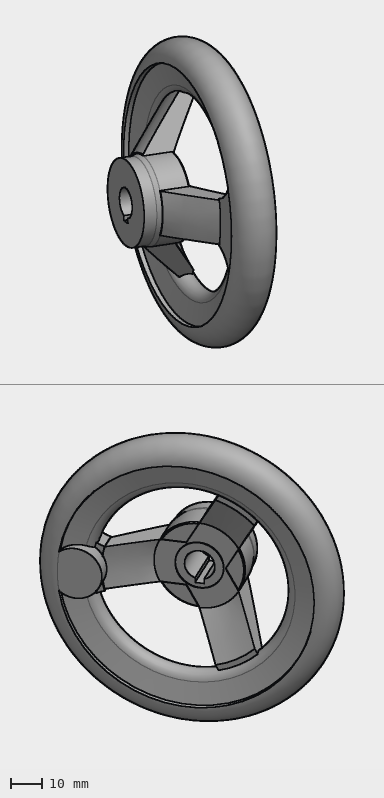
import cadquery as cq
import math


wheel_radius = 50
grip_radius = 7.5
grip_center_radius = wheel_radius - grip_radius
step_depth = 1.8
web_front = -grip_radius + step_depth
lip_radius = 4
opening_radius = 32
lip_center_radius = opening_radius + lip_radius
lip_y = 0

hub_front = -25.5
collar_back = -21.2
hub_cone_back = -19.4
hub_back = -9
collar_radius = 14.5
hub_radius = 15
hub_back_chamfer = 0.4

bore_radius = 5
key_width = 3
key_reach = 6.4

spoke_count = 3
spoke_width = 15
spoke_front_radius = 15.4
spoke_front_slope = 1.05
spoke_back_slope = 1.47
spoke_back_start = -8.7
spoke_back_end = 1.8
spoke_end_radius = 37
spoke_root_radius = 8

boss_center_x = 36.5
boss_radius = 8.8
pad_front = web_front
pad_inner_radius = 29.5
pad_back = spoke_back_end
pad_fillet_radius = 12
pad_fillet_x = 25.3


def revolve_about_y(profile):
    """Turn a profile of (radius, y) around the wheel axis."""
    return profile.close().revolve(360, (0, 0, 0), (0, 1, 0))


def make_rim():
    run = grip_center_radius - lip_center_radius
    rise = web_front - lip_y
    tangent_angle = math.atan2(rise, run) - math.acos(lip_radius / math.hypot(run, rise))
    front_r = lip_center_radius + lip_radius * math.cos(tangent_angle)
    front_y = lip_y + lip_radius * math.sin(tangent_angle)
    profile = (
        cq.Workplane("XY")
        .moveTo(grip_center_radius, web_front)
        .lineTo(grip_center_radius, -grip_radius)
        .threePointArc((wheel_radius, 0), (grip_center_radius, grip_radius))
        .lineTo(grip_center_radius, -web_front)
        .lineTo(front_r, 2 * lip_y - front_y)
        .threePointArc((opening_radius, lip_y), (front_r, front_y))
    )
    return revolve_about_y(profile)


def make_hub():
    profile = cq.Workplane("XY").polyline([
        (0, hub_front),
        (collar_radius, hub_front),
        (collar_radius, collar_back),
        (hub_radius, hub_cone_back),
        (hub_radius, hub_back - hub_back_chamfer),
        (hub_radius - hub_back_chamfer, hub_back),
        (0, hub_back),
    ])
    return revolve_about_y(profile)


def make_spokes():
    front_end = hub_cone_back + (spoke_end_radius - spoke_front_radius) / spoke_front_slope
    back_radius = hub_radius + (spoke_back_end - spoke_back_start) * spoke_back_slope
    cone_ring = revolve_about_y(cq.Workplane("XY").polyline([
        (spoke_root_radius, hub_cone_back),
        (spoke_front_radius, hub_cone_back),
        (spoke_end_radius, front_end),
        (spoke_end_radius, spoke_back_end),
        (back_radius, spoke_back_end),
        (hub_radius, spoke_back_start),
        (spoke_root_radius, spoke_back_start),
    ]))
    blade = (
        cq.Workplane("XZ", origin=(0, grip_radius, 0))
        .center(spoke_end_radius / 2, 0)
        .rect(spoke_end_radius, spoke_width)
        .extrude(grip_radius - hub_front)
    )
    first_spoke = blade.intersect(cone_ring)
    spokes = first_spoke
    for index in range(1, spoke_count):
        spokes = spokes.union(first_spoke.rotate((0, 0, 0), (0, 1, 0), index * 360 / spoke_count))
    return spokes


def make_handle_mount():
    boss = (
        cq.Workplane("XZ", origin=(boss_center_x, grip_radius, 0))
        .circle(boss_radius)
        .extrude(grip_radius - pad_back)
    )
    boss_zone = (
        cq.Workplane("XZ", origin=(0, grip_radius, 0))
        .circle(grip_center_radius)
        .extrude(grip_radius - pad_back)
    )
    boss = boss.intersect(boss_zone)
    half_width = spoke_width / 2
    arc_center_z = half_width + pad_fillet_radius
    arc_offset = pad_fillet_radius * math.sqrt(0.5)
    arc_mid = (pad_fillet_x + arc_offset, arc_center_z - arc_offset)
    arc_end = (pad_fillet_x + pad_fillet_radius, arc_center_z)
    pad = (
        cq.Workplane("XZ", origin=(0, pad_back, 0))
        .moveTo(pad_fillet_x, half_width)
        .threePointArc(arc_mid, arc_end)
        .lineTo(grip_center_radius, arc_end[1])
        .lineTo(grip_center_radius, -arc_end[1])
        .lineTo(arc_end[0], -arc_end[1])
        .threePointArc((arc_mid[0], -arc_mid[1]), (pad_fillet_x, -half_width))
        .close()
        .extrude(pad_back - pad_front)
    )
    pad_zone = (
        cq.Workplane("XZ", origin=(0, pad_back, 0))
        .circle(grip_center_radius)
        .circle(pad_inner_radius)
        .extrude(pad_back - pad_front)
    )
    return boss.union(pad.intersect(pad_zone))


def make_bore():
    length = hub_back - hub_front
    bore = cq.Workplane("XZ", origin=(0, hub_back, 0)).circle(bore_radius).extrude(length)
    keyway = (
        cq.Workplane("XZ", origin=(0, hub_back, 0))
        .center(0, -key_reach / 2)
        .rect(key_width, key_reach)
        .extrude(length)
    )
    return bore.union(keyway)


result = make_rim().union(make_hub()).union(make_spokes()).union(make_handle_mount()).cut(make_bore())